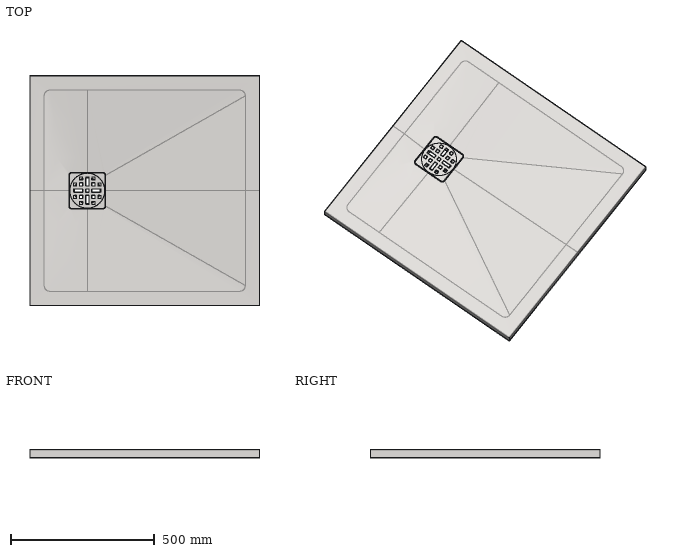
import cadquery as cq
import math

TRAY_SIDE = 800.0
TRAY_HEIGHT = 30.0
EDGE_ROUND = 1.2

BASIN_SIDE = 700.0
BASIN_CORNER_RADIUS = 20.0
RIM_DROP = 1.1

DRAIN_X = -200.0
RECESS_SIDE = 128.0
RECESS_CORNER_RADIUS = 10.0
RECESS_TOP_Z = 14.0
POCKET_DIAMETER = 122.0
POCKET_DEPTH = 4.0
OUTLET_DIAMETER = 90.0

GRATE_GAP = 2.0
GRATE_THICKNESS = 2.0
HOLE_SIDE = 10.0
HOLE_PITCH = 22.0

BASIN_TOP_Z = TRAY_HEIGHT - RIM_DROP
RECESS_FLOOR_Z = RECESS_TOP_Z - GRATE_THICKNESS
POCKET_FLOOR_Z = RECESS_FLOOR_Z - POCKET_DEPTH


def line_path(points):
    """Straight edges through the points in order."""
    return [cq.Edge.makeLine(start, end) for start, end in zip(points, points[1:])]


def half_outline(center_x, half_side, radius, z, y_sign):
    """Half of a rounded square on one side of Y = 0, from its -X side to its +X side.

    The edge parallel to X is split at the drain's X. Returns six edges:
    side, corner arc, two straight edges, corner arc, side.
    """
    min_x = center_x - half_side
    max_x = center_x + half_side
    arc_inset = radius * (1 - math.sqrt(0.5))

    def point(x, y):
        return cq.Vector(x, y_sign * y, z)

    def corner_arc(start, corner_x, inward, end):
        middle = point(corner_x + inward * arc_inset, half_side - arc_inset)
        return cq.Edge.makeThreePointArc(start, middle, end)

    left_side = [point(min_x, 0), point(min_x, half_side - radius)]
    far_side = [point(x, half_side) for x in (min_x + radius, DRAIN_X, max_x - radius)]
    right_side = [point(max_x, half_side - radius), point(max_x, 0)]
    return [
        *line_path(left_side),
        corner_arc(left_side[-1], min_x, 1, far_side[0]),
        *line_path(far_side),
        corner_arc(far_side[-1], max_x, -1, right_side[0]),
        *line_path(right_side),
    ]


def sloping_faces(y_sign):
    """Rim face and three basin faces on one side of Y = 0."""
    basin = half_outline(0, BASIN_SIDE / 2, BASIN_CORNER_RADIUS, BASIN_TOP_Z, y_sign)
    recess = half_outline(DRAIN_X, RECESS_SIDE / 2, RECESS_CORNER_RADIUS, RECESS_TOP_Z, y_sign)
    rim_half = TRAY_SIDE / 2 - EDGE_ROUND
    rim_y = y_sign * rim_half
    rim_corners = [
        cq.Vector(x, y, TRAY_HEIGHT)
        for x, y in [(-rim_half, 0), (-rim_half, rim_y), (rim_half, rim_y), (rim_half, 0)]
    ]

    left_crease = cq.Edge.makeLine(basin[0].startPoint(), recess[0].startPoint())
    drain_crease = cq.Edge.makeLine(basin[3].startPoint(), recess[3].startPoint())
    diagonal_crease = cq.Edge.makeLine(basin[5].startPoint(), recess[5].startPoint())
    right_crease = cq.Edge.makeLine(basin[5].endPoint(), recess[5].endPoint())

    rim_loop = [
        *line_path([basin[0].startPoint(), *rim_corners, basin[5].endPoint()]),
        *basin,
    ]
    left_loop = [*basin[:3], drain_crease, *recess[:3], left_crease]
    middle_loop = [*basin[3:5], diagonal_crease, *recess[3:5], drain_crease]
    right_loop = [basin[5], right_crease, recess[5], diagonal_crease]
    curved_faces = [cq.Face.makeNSidedSurface(loop, []) for loop in (rim_loop, left_loop, middle_loop)]
    right_face = cq.Face.makeFromWires(cq.Wire.assembleEdges(right_loop))
    return [*curved_faces, right_face]


def make_tray_body():
    """Solid bounded by the rounded slab, the sloping faces and a flat face over the drain."""
    slab = (
        cq.Workplane("XY")
        .box(TRAY_SIDE, TRAY_SIDE, TRAY_HEIGHT, centered=(True, True, False))
        .faces(">Z")
        .edges()
        .fillet(EDGE_ROUND)
    )
    outer_faces = slab.faces("not >Z").vals()
    recess_edges = [
        edge
        for y_sign in (1, -1)
        for edge in half_outline(DRAIN_X, RECESS_SIDE / 2, RECESS_CORNER_RADIUS, RECESS_TOP_Z, y_sign)
    ]
    drain_face = cq.Face.makeFromWires(cq.Wire.combine(recess_edges)[0])
    shell = cq.Shell.makeShell([*outer_faces, *sloping_faces(1), *sloping_faces(-1), drain_face])
    return cq.Workplane(cq.Solid.makeSolid(shell))


def rounded_plate(side, radius, top_z, thickness):
    """Square plate with rounded corners, centred on the drain and hanging from top_z."""
    return (
        cq.Workplane("XY", origin=(DRAIN_X, 0, top_z - thickness))
        .rect(side, side)
        .extrude(thickness)
        .edges("|Z")
        .fillet(radius)
    )


def drain_bore(diameter, bottom_z):
    """Cylinder on the drain's axis from bottom_z up to the recess floor."""
    return (
        cq.Workplane("XY", origin=(DRAIN_X, 0, bottom_z))
        .circle(diameter / 2)
        .extrude(RECESS_FLOOR_Z - bottom_z)
    )


def make_tray():
    """Tray body with the drain cut in; faces that meet at Y = 0 stay separate."""
    recess = rounded_plate(RECESS_SIDE, RECESS_CORNER_RADIUS, RECESS_TOP_Z, GRATE_THICKNESS)
    return (
        make_tray_body()
        .cut(recess, clean=False)
        .cut(drain_bore(POCKET_DIAMETER, POCKET_FLOOR_Z), clean=False)
        .cut(drain_bore(OUTLET_DIAMETER, 0), clean=False)
        .solids()
    )


def make_grate():
    """Plate with a centre hole, four slots in a cross and four groups of three square holes."""
    side = RECESS_SIDE - 2 * GRATE_GAP
    grate = rounded_plate(side, RECESS_CORNER_RADIUS - GRATE_GAP, RECESS_TOP_Z, GRATE_THICKNESS)
    square_centers = [(0, 0)] + [
        (x_sign * column * HOLE_PITCH, y_sign * row * HOLE_PITCH)
        for x_sign in (-1, 1)
        for y_sign in (-1, 1)
        for column, row in [(1, 1), (2, 1), (1, 2)]
    ]
    slot_length = HOLE_PITCH + HOLE_SIDE
    slot_offset = 1.5 * HOLE_PITCH
    openings = [
        (square_centers, HOLE_SIDE, HOLE_SIDE),
        ([(-slot_offset, 0), (slot_offset, 0)], slot_length, HOLE_SIDE),
        ([(0, -slot_offset), (0, slot_offset)], HOLE_SIDE, slot_length),
    ]
    for centers, size_x, size_y in openings:
        cutter = (
            cq.Workplane("XY", origin=(DRAIN_X, 0, RECESS_FLOOR_Z))
            .pushPoints(centers)
            .rect(size_x, size_y)
            .extrude(GRATE_THICKNESS)
        )
        grate = grate.cut(cutter)
    return grate.solids()


tray = make_tray()
grate = make_grate()

result = cq.Compound.makeCompound([*tray.vals(), *grate.vals()])